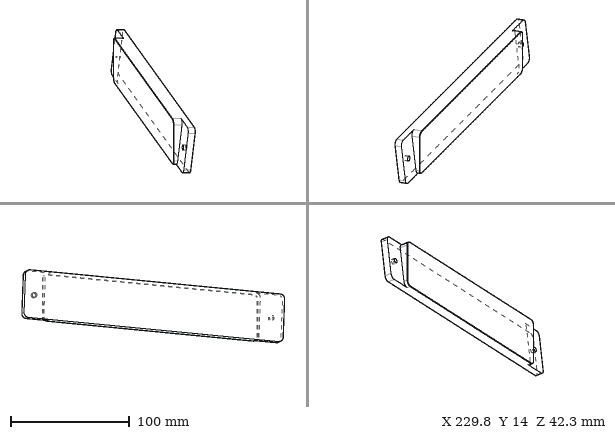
import cadquery as cq
import math

length = 229.8
plate_height = 41.0
plate_thickness = 6.2
overall_depth = 14.0
tilt = 6.6
ear_width = 19.5
corner_radius = 4.1
hole_diameter = 4.1
hole_depth = 3.0
front_edge_chamfer = 0.35

block_length = length - 2 * ear_width
hole_spacing = length - ear_width
blank_depth = 2 * overall_depth


def rounded_slab(slab_length, depth):
    """Rounded rectangle extruded toward -Y from the untilted back face."""
    return (
        cq.Workplane("XZ")
        .rect(slab_length, plate_height)
        .extrude(depth)
        .edges("|Y")
        .fillet(corner_radius)
    )


def tilt_back(body):
    """Lean the top toward +Y about the X axis."""
    return body.rotate((0, 0, 0), (1, 0, 0), -tilt)


holes = (
    cq.Workplane("XZ", origin=(0, -plate_thickness, 0))
    .pushPoints([(-hole_spacing / 2, 0), (hole_spacing / 2, 0)])
    .circle(hole_diameter / 2)
    .extrude(-hole_depth)
)
plate = tilt_back(rounded_slab(length, plate_thickness).cut(holes))

back_top_y = plate_height / 2 * math.sin(math.radians(tilt))
front_y = back_top_y - overall_depth
behind_front = cq.Workplane("XY").box(
    length, blank_depth, 2 * plate_height, centered=(True, False, True)
).translate((0, front_y, 0))
block = tilt_back(rounded_slab(block_length, blank_depth)).intersect(behind_front)
block = block.faces("<Y").chamfer(front_edge_chamfer)

result = plate.union(block)